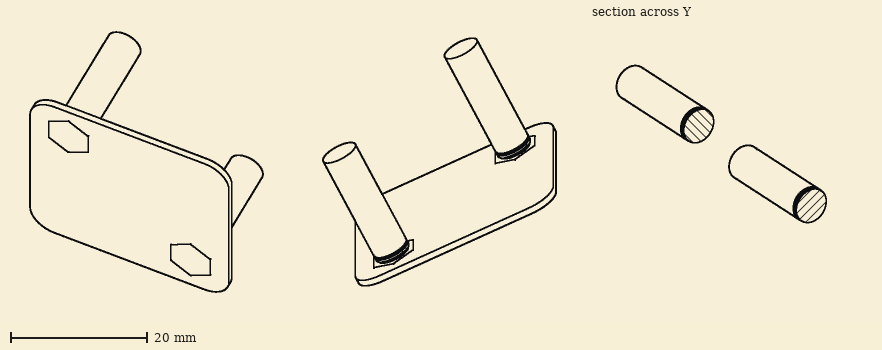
import cadquery as cq
import math

plate_width = 32.4
plate_height = 30.0
plate_thickness = 1.0
corner_radius = 4.0

standoff_offset_x = 9.95
standoff_offset_z = 9.17
standoff_centers = [
    (-standoff_offset_x, standoff_offset_z),
    (standoff_offset_x, -standoff_offset_z),
]
overall_depth = 19.0
barrel_radius = 2.7

head_across_flats = 6.45
head_across_corners = head_across_flats / math.cos(math.pi / 6)
head_rotation = 30

undercut_radius = barrel_radius - 0.23
undercut_width = 0.3
groove_radius = barrel_radius - 0.13
collar_end = plate_thickness + 0.7
groove_width = 0.32


def hex_head(center):
    """Hexagonal prism as thick as the plate."""
    x, z = center
    return (
        cq.Workplane("XY")
        .polygon(6, head_across_corners)
        .extrude(plate_thickness)
        .rotate((0, 0, 0), (0, 0, 1), head_rotation)
        .rotate((0, 0, 0), (1, 0, 0), -90)
        .translate((x, 0, z))
    )


def make_plate():
    """Rounded plate with a hexagonal hole for each standoff head."""
    plate = (
        cq.Workplane("XY")
        .box(plate_width, plate_thickness, plate_height, centered=(True, False, True))
        .edges("|Y")
        .fillet(corner_radius)
    )
    for center in standoff_centers:
        plate = plate.cut(hex_head(center))
    return plate


def make_standoff(center):
    """Hexagonal head with a stepped round barrel pointing toward +Y."""
    x, z = center
    undercut_end = plate_thickness + undercut_width
    groove_end = collar_end + groove_width
    barrel = (
        cq.Workplane("XY")
        .moveTo(0, 0)
        .lineTo(undercut_radius, 0)
        .lineTo(undercut_radius, undercut_end)
        .lineTo(barrel_radius, undercut_end)
        .lineTo(barrel_radius, collar_end)
        .lineTo(groove_radius, collar_end)
        .lineTo(groove_radius, groove_end)
        .lineTo(barrel_radius, groove_end)
        .lineTo(barrel_radius, overall_depth)
        .lineTo(0, overall_depth)
        .close()
        .revolve(360, (0, 0, 0), (0, 1, 0))
        .translate((x, 0, z))
    )
    return hex_head(center).union(barrel)


plate = make_plate()
standoffs = [make_standoff(center) for center in standoff_centers]

result = cq.Compound.makeCompound([plate.val(), *[standoff.val() for standoff in standoffs]])